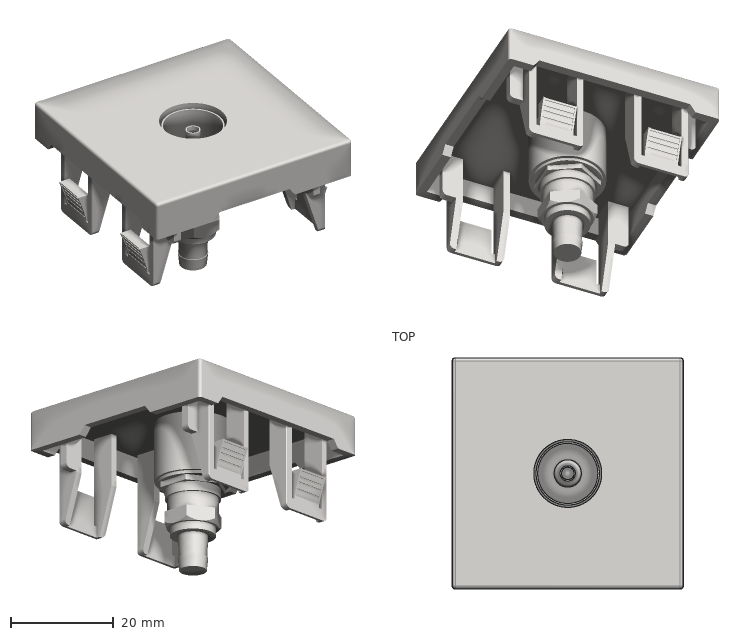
import cadquery as cq
import math


plate_side = 45.0
skirt_bottom_z = -8.15
skirt_wall = 1.8
ceiling_z = -2.25
plate_edge_radius = 0.65

notch_top_z = -6.5
wide_notch_top = 32.1
wide_notch_bottom = 34.45
narrow_notch_top = 15.95
narrow_notch_bottom = 18.65

boss_radius = 7.55
boss_bottom_z = -14.2
boss_bore_radius = 6.6

clip_inner_x = 5.4
clip_width = 11.55
clip_center_x = clip_inner_x + clip_width / 2
clip_outer_y = 19.8
clip_depth_top = 4.6
clip_depth_bottom = 1.45
clip_taper_z = -12.82
clip_bottom_z = -22.8
clip_leg = 1.5
clip_wall = 0.68
clip_bar_top_z = -20.5
clip_corner_radius = 1.0
clip_edge_chamfer = 0.15

tongue_width = 7.1
tongue_top_z = -14.6
tongue_reach = 1.8
barb_mid_reach = 0.8
barb_mid_z = -17.1
barb_bottom_z = -19.75
cheek_width = 0.35
grip_recess = 0.15
groove_height = 0.35
groove_depth = 0.25
groove_centers_z = (-15.1, -16.2, -17.15, -18.45)

tab_outer_x = 19.8
tab_bottom_z = -12.6
tab_thickness = 1.58

cup_outer_radius = 6.15
cup_inner_radius = 5.85
cup_rim_z = -1.05
cup_floor_z = -10.8
socket_shank_radius = 5.5
flange_radius = 6.98
flange_bottom_z = -14.85
hex_flats = 11.45
hex_bottom_z = -15.98
socket_bottom_z = -17.85
dome_radius = 2.65
contact_radius = 1.5
contact_bore_radius = 1.2
contact_top_z = -2.0
contact_bore_depth = 6.75

sleeve_radius = 5.05
nut_flats = 10.12
nut_top_z = -20.92
nut_bottom_z = -23.9
nut_chamfer_width = 0.75
nut_chamfer_height = 0.75
collar_radius = 4.5
collar_bottom_z = -25.45
hose_barb_radius = 2.95
hose_neck_radius = 2.8
hose_tip_radius = 2.7
hose_step_z = -30.0
gland_bottom_z = -32.6


def cylinder(radius, bottom_z, top_z):
    """Round bar on the Z axis."""
    return cq.Workplane("XY").workplane(offset=bottom_z).circle(radius).extrude(top_z - bottom_z)


def block(x_range, y_range, z_range):
    """Box between two limits along each axis."""
    size = [high - low for low, high in (x_range, y_range, z_range)]
    corner = (x_range[0], y_range[0], z_range[0])
    return cq.Workplane("XY").box(*size, centered=False).translate(corner)


def hexagon(flats, bottom_z, top_z):
    """Hexagonal bar on the Z axis with two corners on the Y axis."""
    across_corners = flats / math.cos(math.pi / 6)
    bar = cq.Workplane("XY").polygon(6, across_corners).extrude(top_z - bottom_z)
    return bar.rotate((0, 0, 0), (0, 0, 1), 90).translate((0, 0, bottom_z))


def notch(plane, top_width, bottom_width):
    """Trapezoid bar that passes through two opposite skirt walls."""
    outline = [
        (-bottom_width / 2, skirt_bottom_z),
        (-top_width / 2, notch_top_z),
        (top_width / 2, notch_top_z),
        (bottom_width / 2, skirt_bottom_z),
    ]
    return cq.Workplane(plane).polyline(outline).close().extrude(plate_side, both=True)


def make_plate():
    """Square cap with rounded edges, a hollow underside and notched walls."""
    half = plate_side / 2
    inner = half - skirt_wall
    plate = block((-half, half), (-half, half), (skirt_bottom_z, 0))
    plate = plate.edges("|Z or >Z").fillet(plate_edge_radius)
    plate = plate.cut(block((-inner, inner), (-inner, inner), (skirt_bottom_z, ceiling_z)))
    plate = plate.cut(notch("XZ", wide_notch_top, wide_notch_bottom))
    return plate.cut(notch("YZ", narrow_notch_top, narrow_notch_bottom))


def barb_prism(inset, width):
    """Barb with a curved outer face set back by an inset, centered on X = 0."""
    inner_y = clip_outer_y - clip_wall
    face_y = clip_outer_y - inset
    return (
        cq.Workplane("YZ")
        .moveTo(inner_y, tongue_top_z)
        .lineTo(face_y + tongue_reach, tongue_top_z)
        .threePointArc((face_y + barb_mid_reach, barb_mid_z), (face_y, barb_bottom_z))
        .lineTo(face_y, clip_bar_top_z)
        .lineTo(inner_y, clip_bar_top_z)
        .close()
        .extrude(width / 2, both=True)
    )


def grip_cutter(depth, bottom_z, top_z):
    """Layer of the barb face between the cheeks, down to a depth and between two heights."""
    width = tongue_width - 2 * cheek_width
    layer = barb_prism(0, width).cut(barb_prism(depth, width))
    y_range = (clip_outer_y - clip_wall, clip_outer_y + tongue_reach)
    return layer.intersect(block((-width / 2, width / 2), y_range, (bottom_z, top_z)))


def make_tongue():
    """Tongue with a curved barb whose grip face is recessed between two cheeks and grooved."""
    tongue = barb_prism(0, tongue_width).cut(grip_cutter(grip_recess, barb_bottom_z, tongue_top_z))
    for center_z in groove_centers_z:
        half_height = groove_height / 2
        tongue = tongue.cut(grip_cutter(groove_depth, center_z - half_height, center_z + half_height))
    return tongue


def make_clip():
    """Clip frame with tapered legs, centered on X = 0 at the +Y side."""
    half = clip_width / 2
    inner_y = clip_outer_y - clip_depth_top
    side_outline = [
        (clip_outer_y, ceiling_z),
        (inner_y, ceiling_z),
        (inner_y, clip_taper_z),
        (clip_outer_y - clip_depth_bottom, clip_bottom_z),
        (clip_outer_y, clip_bottom_z),
    ]
    frame = cq.Workplane("YZ").polyline(side_outline).close().extrude(half, both=True)
    frame = frame.faces(">Y").edges("|Z").chamfer(clip_edge_chamfer)
    frame = frame.edges("|Y and <Z").fillet(clip_corner_radius)

    opening = half - clip_leg
    wall_y = clip_outer_y - clip_wall
    hollow = block((-opening, opening), (inner_y, wall_y), (clip_bottom_z, ceiling_z))
    window = block((-opening, opening), (inner_y, clip_outer_y), (clip_bar_top_z, ceiling_z))
    return frame.cut(hollow).cut(window).union(make_tongue())


def make_tab():
    """Stop tab on the outer side of the clip at +X, +Y."""
    inner_y = clip_outer_y - clip_depth_top
    tab = block(
        (clip_inner_x + clip_width - clip_leg, tab_outer_x),
        (inner_y, inner_y + tab_thickness),
        (tab_bottom_z, ceiling_z),
    )
    return tab.edges("|Y and <Z and >X").fillet(clip_corner_radius)


def make_cover():
    """Plate, boss and four clips as one moulded part."""
    boss = cylinder(boss_radius, boss_bottom_z, ceiling_z)
    cover = make_plate().union(boss)

    corner_clip = make_clip().translate((clip_center_x, 0, 0)).union(make_tab())
    clip_pair = corner_clip.union(corner_clip.mirror("YZ"))
    cover = cover.union(clip_pair).union(clip_pair.mirror("XZ"))

    return cover.cut(cylinder(boss_bore_radius, boss_bottom_z, 0))


def make_socket():
    """Cup with a domed center and a tubular contact, above a round flange, a hexagon and a shank."""
    cup = cylinder(cup_outer_radius, boss_bottom_z, cup_rim_z)
    cup = cup.cut(cylinder(cup_inner_radius, cup_floor_z, cup_rim_z))

    dome_height = dome_radius - contact_radius
    dome = cylinder(dome_radius, cup_floor_z, cup_floor_z + dome_height)
    dome_cutter = (
        cq.Workplane("XZ")
        .moveTo(dome_radius, cup_floor_z)
        .radiusArc((contact_radius, cup_floor_z + dome_height), -dome_height)
        .lineTo(dome_radius, cup_floor_z + dome_height)
        .close()
        .revolve(360, (0, 0, 0), (0, 1, 0))
    )
    contact = cylinder(contact_radius, cup_floor_z, contact_top_z)

    flange = cylinder(flange_radius, flange_bottom_z, boss_bottom_z)
    hex_grip = hexagon(hex_flats, hex_bottom_z, flange_bottom_z)
    shank = cylinder(socket_shank_radius, socket_bottom_z, hex_bottom_z)
    socket = cup.union(flange).union(hex_grip).union(shank)
    socket = socket.union(dome.cut(dome_cutter)).union(contact)
    return socket.cut(cylinder(contact_bore_radius, contact_top_z - contact_bore_depth, contact_top_z))


def make_gland():
    """Sleeve, hexagonal nut with a turned lower edge, collar and hose barb."""
    sleeve = cylinder(sleeve_radius, nut_top_z, socket_bottom_z)

    corner_radius = nut_flats / 2 / math.cos(math.pi / 6)
    turned_envelope = cylinder(corner_radius, nut_bottom_z, nut_top_z)
    turned_envelope = turned_envelope.faces("<Z").chamfer(nut_chamfer_height, nut_chamfer_width)
    nut = hexagon(nut_flats, nut_bottom_z, nut_top_z).intersect(turned_envelope)

    collar = cylinder(collar_radius, collar_bottom_z, nut_bottom_z)
    hose_outline = [
        (0, collar_bottom_z),
        (hose_barb_radius, collar_bottom_z),
        (hose_neck_radius, hose_step_z),
        (hose_barb_radius, hose_step_z),
        (hose_tip_radius, gland_bottom_z),
        (0, gland_bottom_z),
    ]
    hose_end = cq.Workplane("XZ").polyline(hose_outline).close().revolve(360, (0, 0, 0), (0, 1, 0))
    return sleeve.union(nut).union(collar).union(hose_end)


cover = make_cover()
socket = make_socket()
gland = make_gland()

result = cq.Compound.makeCompound([body.solids().val() for body in (cover, socket, gland)])